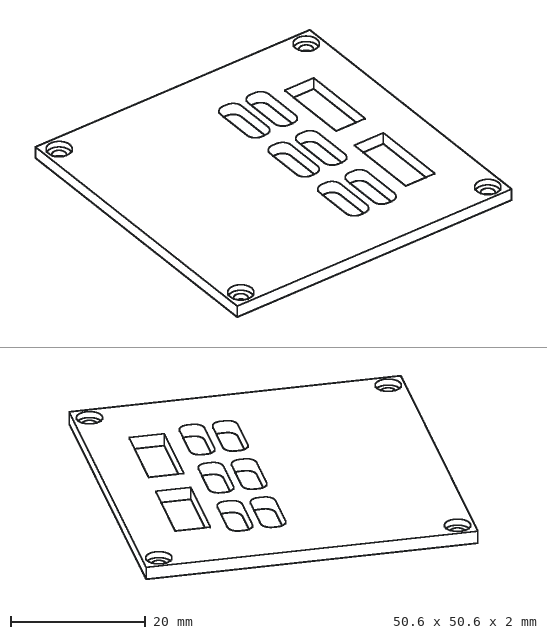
import cadquery as cq

side = 50.6
thickness = 2.0

hole_inset = 2.55
hole_diameter = 2.2
counterbore_diameter = 3.9
counterbore_depth = 1.0
hole_spacing = side - 2 * hole_inset

window_length = 12.9
window_height = 5.35
window_pitch = 17.45
window_row_x = 0.15
window_row_y = 15.8

slot_length = 9.6
slot_width = 3.8
slot_corner_radius = 1.5
slot_pitch_x = 12.4
slot_pitch_y = 5.05
slot_group_x = 0.05
slot_group_y = 6.2


def add_corner_holes(plate):
    """Drill the four counterbored screw holes from the top face."""
    return (
        plate.faces(">Z").workplane(origin=(0, 0, thickness))
        .rect(hole_spacing, hole_spacing, forConstruction=True)
        .vertices()
        .cboreHole(hole_diameter, counterbore_diameter, counterbore_depth)
    )


def window_cutter():
    """Through-cutter for the pair of rectangular windows."""
    return (
        cq.Workplane("XY")
        .center(window_row_x, window_row_y)
        .rarray(window_pitch, 0.5, 2, 1)
        .rect(window_length, window_height)
        .extrude(thickness)
    )


def slot_cutter():
    """Through-cutter for the grid of rounded slots."""
    return (
        cq.Workplane("XY")
        .center(slot_group_x, slot_group_y)
        .rarray(slot_pitch_x, slot_pitch_y, 3, 2)
        .rect(slot_length, slot_width)
        .extrude(thickness)
        .edges("|Z")
        .fillet(slot_corner_radius)
    )


plate = cq.Workplane("XY").box(side, side, thickness, centered=(True, True, False))
result = add_corner_holes(plate).cut(window_cutter()).cut(slot_cutter())